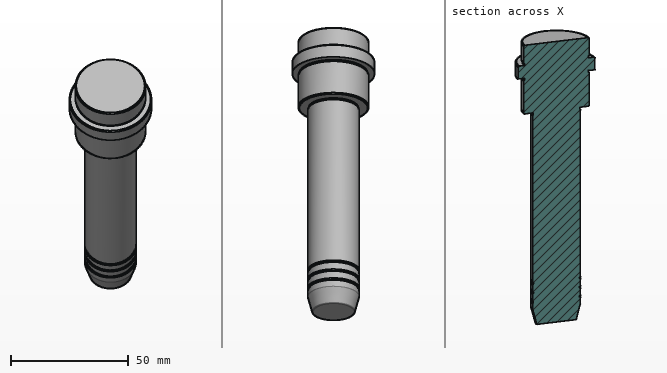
import cadquery as cq
import math

total_length = 126.0
head_diameter = 30.0
flange_diameter = 35.0
shaft_diameter = 21.9

flange_top = total_length - 9.1
flange_bottom = flange_top - 5.9
head_bottom = total_length - 31.0
tip_length = 7.0

head_edge = 0.5
flange_edge = 0.5
tip_edge = 0.4

relief_width = 1.0
relief_depth = 0.4

groove_count = 3
groove_width = 1.0
groove_depth = groove_width / 2
groove_pitch = 4.2
lowest_groove_bottom = 9.8

tip_angle = 15.0


def cylinder(diameter, bottom, top):
    """Solid cylinder on the Z axis between two levels."""
    return cq.Workplane("XY").workplane(offset=bottom).circle(diameter / 2).extrude(top - bottom)


def ring_groove(bottom):
    """V-section groove tool on the shaft surface."""
    outer = shaft_diameter / 2
    root = (outer - groove_depth, bottom + groove_width / 2)
    profile = [(outer, bottom), root, (outer, bottom + groove_width)]
    return cq.Workplane("XZ").polyline(profile).close().revolve(360, (0, 0), (0, 1))


def tapered_relief(diameter, shoulder, direction):
    """Relief tool, full depth at the shoulder, running out along Z (direction +1 up, -1 down)."""
    outer = diameter / 2
    inner = outer - relief_depth
    run_out = shoulder + direction * relief_width
    slope_start = shoulder + direction * relief_width / 2
    profile = [(outer, run_out), (outer, shoulder), (inner, shoulder), (inner, slope_start)]
    return cq.Workplane("XZ").polyline(profile).close().revolve(360, (0, 0), (0, 1))


shaft_radius = shaft_diameter / 2
tip_radius = shaft_radius - tip_length * math.tan(math.radians(tip_angle))
shaft_profile = [
    (0, 0),
    (tip_radius, 0),
    (shaft_radius, tip_length),
    (shaft_radius, head_bottom),
    (0, head_bottom),
]
shaft = cq.Workplane("XZ").polyline(shaft_profile).close().revolve(360, (0, 0), (0, 1))
shaft = shaft.faces("<Z").edges().fillet(tip_edge)

for index in range(groove_count):
    groove_bottom = lowest_groove_bottom + index * groove_pitch
    shaft = shaft.cut(ring_groove(groove_bottom))
shaft = shaft.cut(tapered_relief(shaft_diameter, head_bottom, -1))

head = cylinder(head_diameter, head_bottom, total_length).edges().chamfer(head_edge)
head = head.cut(tapered_relief(head_diameter, flange_top, 1))
head = head.cut(tapered_relief(head_diameter, flange_bottom, -1))

flange = cylinder(flange_diameter, flange_bottom, flange_top)
flange = flange.faces(">Z").edges().chamfer(flange_edge)

result = shaft.union(head).union(flange)